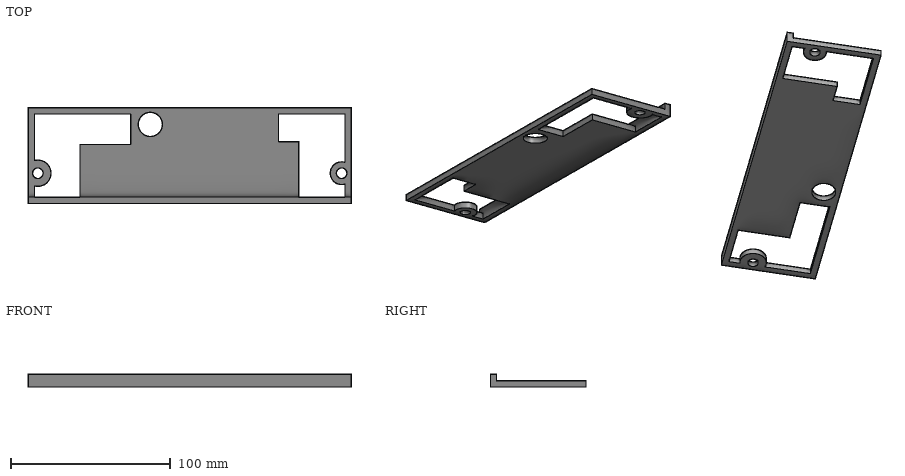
import cadquery as cq

length = 202.0
width = 60.0
plate_thickness = 4.0

lip_height = 8.0
lip_width = 4.0

border = 4.0
window_front = lip_width
window_back = width - border

left_window_front_end = 32.3
left_window_back_end = 64.0
left_step_y = 37.0
right_window_front_end = 169.3
right_window_back_end = 156.5
right_step_y = 38.8

lug_hole_diameter = 6.5
lug_inset = 6.0
lug_y = 19.0
left_lug_diameter = 16.5
right_lug_diameter = 14.3

large_hole_diameter = 15.0
large_hole_x = 76.4
large_hole_y = 49.5


def cylinder(x, y, diameter):
    """Vertical cylinder through the full plate thickness."""
    return cq.Workplane("XY").center(x, y).circle(diameter / 2).extrude(plate_thickness)


def stepped_window(outer_x, front_end_x, back_end_x, step_y):
    """L-shaped window from the side border toward the middle of the plate."""
    outline = [
        (outer_x, window_front),
        (front_end_x, window_front),
        (front_end_x, step_y),
        (back_end_x, step_y),
        (back_end_x, window_back),
        (outer_x, window_back),
    ]
    return cq.Workplane("XY").polyline(outline).close().extrude(plate_thickness)


plate = cq.Workplane("XY").box(length, width, plate_thickness, centered=False)
lip = cq.Workplane("XY").box(length, lip_width, lip_height, centered=False)

left_window = stepped_window(border, left_window_front_end, left_window_back_end, left_step_y)
right_window = stepped_window(
    length - border, right_window_front_end, right_window_back_end, right_step_y
)
frame = plate.cut(left_window).cut(right_window).union(lip)

lugs = [
    (lug_inset, left_lug_diameter),
    (length - lug_inset, right_lug_diameter),
]
for lug_x, lug_diameter in lugs:
    frame = frame.union(cylinder(lug_x, lug_y, lug_diameter).intersect(plate))
for lug_x, _ in lugs:
    frame = frame.cut(cylinder(lug_x, lug_y, lug_hole_diameter))

result = frame.cut(cylinder(large_hole_x, large_hole_y, large_hole_diameter))